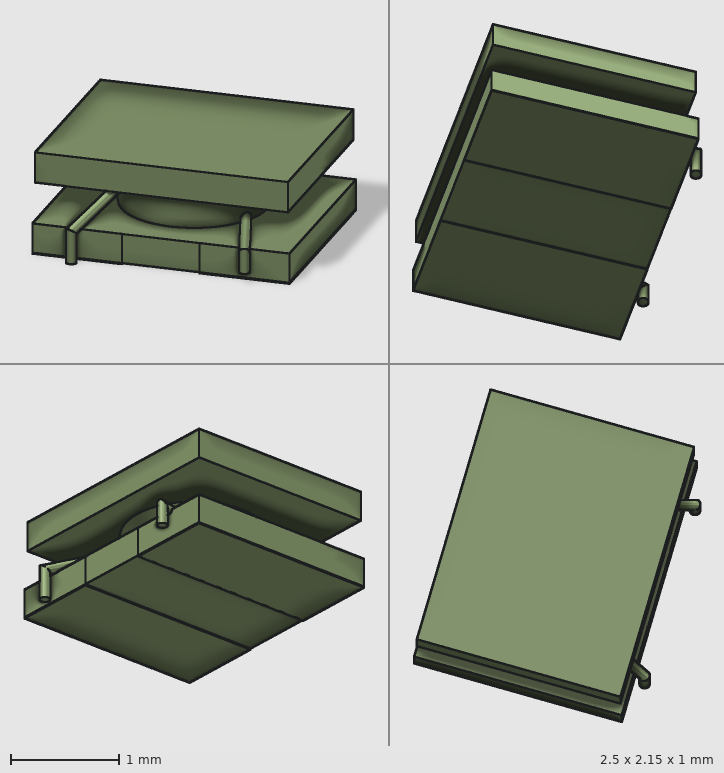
import cadquery as cq

length = 2.5
width = 2.0
pad_thickness = 0.01
flange_thickness = 0.3
centre_gap = 0.755
front_plate_thickness = 0.002
base_top = flange_thickness
contact_length = (length - centre_gap) / 2
contact_x = (length - contact_length) / 2

lid_inset = 0.02
total_height = 1.0
lid_bottom = total_height - flange_thickness
post_diameter = 0.75
post_radius = post_diameter / 2

winding_clearance = 0.01
winding_bottom = base_top + winding_clearance
winding_bottom_radius = 0.705
winding_belly_radius = 0.72
winding_belly_z = 0.45
winding_top_radius = 0.688

wire_diameter = 0.1
wire_radius = wire_diameter / 2
overall_width = 2.15
wire_y = width / 2 - overall_width + wire_radius
left_wire_path = [(-0.838, wire_y, 0), (-0.838, wire_y, 0.308), (-0.545, -0.388, 0.59)]
right_wire_path = [(0.845, wire_y, 0.105), (0.845, wire_y, 0.308), (0.612, -0.338, 0.35)]


def block(x_size, y_min, y_max, z_min, z_max, x_centre=0.0):
    """Box given by its length, its centre in X and its limits in Y and Z."""
    return (
        cq.Workplane("XY", origin=(x_centre, (y_min + y_max) / 2, z_min))
        .rect(x_size, y_max - y_min)
        .extrude(z_max - z_min)
    )


def make_wire(path_points):
    """Round wire with a mitred bend."""
    foot = path_points[0]
    path = cq.Workplane("XY").polyline([cq.Vector(*point) for point in path_points])
    profile = cq.Workplane("XY", origin=foot).circle(wire_radius)
    return profile.sweep(path, transition="right")


def make_contact_pad(side):
    return block(contact_length, -width / 2, width / 2, 0, pad_thickness, side * contact_x)


def make_front_plate(side):
    front = -width / 2
    return block(
        contact_length, front, front + front_plate_thickness, pad_thickness, base_top, side * contact_x
    )


def make_base():
    """Slab recessed at the front for the two end plates."""
    slab = block(length, -width / 2, width / 2, pad_thickness, base_top)
    for side in (-1, 1):
        slab = slab.cut(make_front_plate(side))
    return slab


def make_lid():
    """Upper flange and the round post that stands on the base."""
    half_width = width / 2 - lid_inset
    flange = block(length - 2 * lid_inset, -half_width, half_width, lid_bottom, total_height)
    post = (
        cq.Workplane("XY", origin=(0, 0, base_top))
        .circle(post_radius)
        .extrude(lid_bottom - base_top)
    )
    return flange.union(post)


def make_winding():
    """Ring with a bulging outer side, revolved about Z."""
    return (
        cq.Workplane("XZ")
        .moveTo(post_radius, winding_bottom)
        .lineTo(winding_bottom_radius, winding_bottom)
        .threePointArc((winding_belly_radius, winding_belly_z), (winding_top_radius, lid_bottom))
        .lineTo(post_radius, lid_bottom)
        .close()
        .revolve(360, (0, 0, 0), (0, 1, 0))
    )


wires = [make_wire(path_points) for path_points in (left_wire_path, right_wire_path)]
contact_pads = [make_contact_pad(side) for side in (-1, 1)]
front_plates = [make_front_plate(side) for side in (-1, 1)]
base = make_base()
lid = make_lid()
winding = make_winding()

for wire in wires:
    base = base.cut(wire)
    winding = winding.cut(wire)
    front_plates = [plate.cut(wire) for plate in front_plates]

result = cq.Compound.makeCompound(
    [base.val(), lid.val(), winding.val()]
    + [pad.val() for pad in contact_pads]
    + [plate.val() for plate in front_plates]
    + [wire.val() for wire in wires]
)